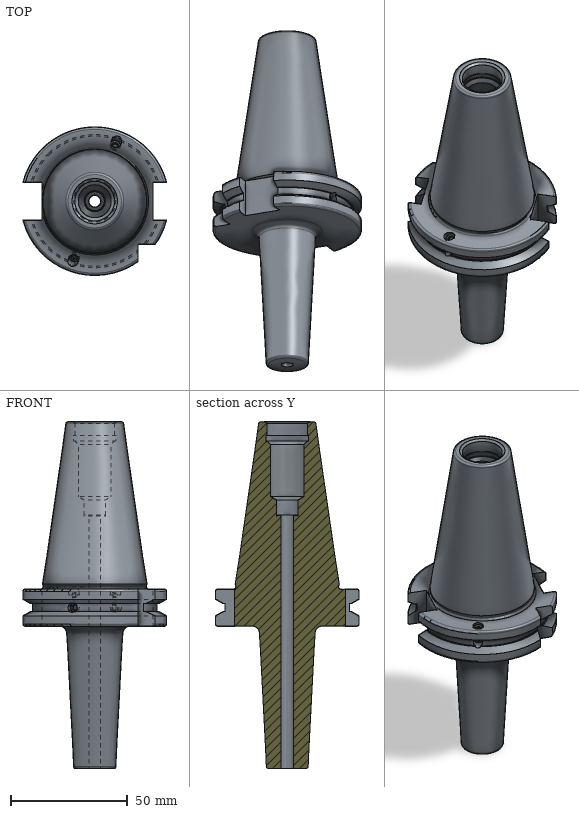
import cadquery as cq
import math


gauge_radius = 44.45 / 2
shank_length = 68.4
taper_slope = 7 / 48
taper_foot_z = -1.0
neck_radius = 22.1
neck_top_z = -1.9
neck_fillet = 0.9
shank_tip_rounding = 1.0

flange_radius = 63.55 / 2
flange_top_z = -3.2
flange_bottom_z = -19.1
flange_rounding = 1.0
groove_middle_z = -11.1
groove_mouth_width = 7.1
groove_floor_radius = 27.85
groove_floor_width = 3.3
groove_flank_angle = 30

nose_end_z = -80.0
nose_end_radius = 9.0
nose_half_angle = 3
nose_root_fillet = 3.0
nose_tip_rounding = 1.0

slot_width = 16.1
left_slot_floor = 22.6
right_slot_floor = 25.0
notch_corner = 18.5

mouth_radius = 9.7
mouth_chamfer_angle = 30
pilot_radius = 8.5
pilot_depth = 5.9
relief_radius = 9.0
relief_end_depth = 8.3
thread_radius = 7.05
thread_end_depth = 32.0
drill_half_angle = 59
seat_radius = 4.5
seat_depth = 40.0
seat_rim_chamfer = 0.4
through_radius = 2.5

coolant_angles = (70, 250)
face_hole_radius = 2.2
groove_hole_radius = 2.0
plug_depth = 3.0
socket_across_flats = 2.5
socket_depth = 1.5
face_hole_distance = 27.0
face_hole_tilt = 30


def turned(points):
    """Solid of revolution about Z from (radius, height) points, starting on the +Y side."""
    return cq.Workplane("YZ").polyline(points).close().revolve(360, (0, 0, 0), (0, 1, 0))


def round_corner(body, radius, height, rounding):
    """Fillet the circular edge with this radius at this height."""
    corner = cq.Vector(0, radius, height)
    tolerance = 1e-4
    return body.edges("%CIRCLE").filter(
        lambda edge: (edge.startPoint() - corner).Length < tolerance
    ).fillet(rounding)


def turned_body():
    shank_tip_radius = gauge_radius - taper_slope * shank_length
    taper_foot_radius = gauge_radius - taper_slope * taper_foot_z
    nose_taper = math.tan(math.radians(nose_half_angle))
    nose_root_radius = nose_end_radius + (flange_bottom_z - nose_end_z) * nose_taper
    half_floor = groove_floor_width / 2
    half_mouth = groove_mouth_width / 2
    flank_depth = (half_mouth - half_floor) / math.tan(math.radians(groove_flank_angle))
    flank_foot_radius = flange_radius - flank_depth

    body = turned([
        (0, shank_length),
        (shank_tip_radius, shank_length),
        (taper_foot_radius, taper_foot_z),
        (neck_radius, neck_top_z),
        (neck_radius, flange_top_z),
        (flange_radius, flange_top_z),
        (flange_radius, groove_middle_z + half_mouth),
        (flank_foot_radius, groove_middle_z + half_floor),
        (groove_floor_radius, groove_middle_z + half_floor),
        (groove_floor_radius, groove_middle_z - half_floor),
        (flank_foot_radius, groove_middle_z - half_floor),
        (flange_radius, groove_middle_z - half_mouth),
        (flange_radius, flange_bottom_z),
        (nose_root_radius, flange_bottom_z),
        (nose_end_radius, nose_end_z),
        (0, nose_end_z),
    ])
    body = round_corner(body, shank_tip_radius, shank_length, shank_tip_rounding)
    body = round_corner(body, neck_radius, flange_top_z, neck_fillet)
    body = round_corner(body, flange_radius, flange_top_z, flange_rounding)
    body = round_corner(body, flange_radius, flange_bottom_z, flange_rounding)
    body = round_corner(body, nose_root_radius, flange_bottom_z, nose_root_fillet)
    return round_corner(body, nose_end_radius, nose_end_z, nose_tip_rounding)


def flange_cutter(corner_x, corner_y, length, width):
    """Block through the whole flange and its neck fillet, reaching out from one corner."""
    height = flange_top_z + neck_fillet - flange_bottom_z
    base = cq.Workplane("XY", origin=(corner_x, corner_y, flange_bottom_z))
    return base.rect(length, width, centered=False).extrude(height)


def slots_and_notch():
    reach = flange_radius
    right_slot = flange_cutter(right_slot_floor, -slot_width / 2, reach, slot_width)
    left_slot = flange_cutter(-left_slot_floor, -slot_width / 2, -reach, slot_width)
    notch = flange_cutter(notch_corner, -notch_corner, reach, -reach)
    return right_slot.union(left_slot).union(notch)


def stepped_bore():
    mouth_chamfer = (mouth_radius - pilot_radius) * math.tan(math.radians(mouth_chamfer_angle))
    thread_lead_in = pilot_radius - thread_radius
    drill_tip = (thread_radius - seat_radius) / math.tan(math.radians(drill_half_angle))
    steps = [
        (0, 0),
        (mouth_radius, 0),
        (pilot_radius, mouth_chamfer),
        (pilot_radius, pilot_depth),
        (relief_radius, pilot_depth),
        (relief_radius, relief_end_depth),
        (pilot_radius, relief_end_depth),
        (thread_radius, relief_end_depth + thread_lead_in),
        (thread_radius, thread_end_depth),
        (seat_radius, thread_end_depth + drill_tip),
        (seat_radius, seat_depth + seat_rim_chamfer),
        (seat_radius - seat_rim_chamfer, seat_depth),
        (through_radius, seat_depth),
        (through_radius, shank_length - nose_end_z),
        (0, shank_length - nose_end_z),
    ]
    return turned([(radius, shank_length - depth) for radius, depth in steps])


def plug_hole(radius, mouth, outward):
    """Blind hole ending on a plug with a hexagon socket; outward points out of the hole."""
    overcut = 2.0
    floor = cq.Plane(origin=mouth, normal=outward).toWorldCoords((0, 0, -plug_depth))
    plug_face = cq.Workplane(cq.Plane(origin=floor, normal=outward))
    socket_diameter = socket_across_flats / math.cos(math.radians(30))
    bore = plug_face.circle(radius).extrude(plug_depth + overcut)
    socket = plug_face.polygon(6, socket_diameter).extrude(-socket_depth)
    return bore.union(socket)


def coolant_holes(angle):
    """Face hole leaning outward at its mouth, and the groove hole below it."""
    tilt = math.radians(face_hole_tilt)
    face_mouth = (face_hole_distance, 0, flange_top_z)
    face_direction = (math.sin(tilt), 0, math.cos(tilt))
    face_hole = plug_hole(face_hole_radius, face_mouth, face_direction)
    groove_mouth = (groove_floor_radius, 0, groove_middle_z)
    groove_hole = plug_hole(groove_hole_radius, groove_mouth, (1, 0, 0))
    return face_hole.union(groove_hole).rotate((0, 0, 0), (0, 0, 1), angle)


result = turned_body().cut(slots_and_notch()).cut(stepped_bore())
for angle in coolant_angles:
    result = result.cut(coolant_holes(angle))